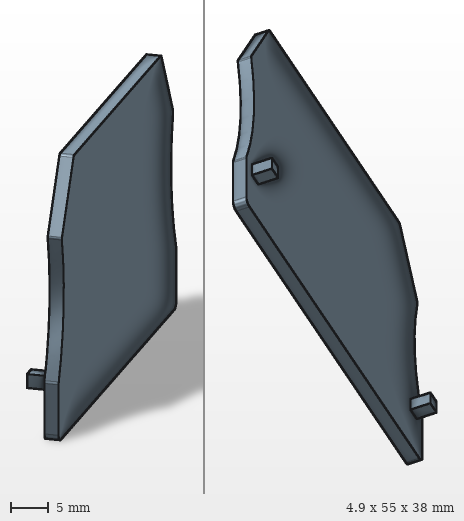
import cadquery as cq
import math

width = 55.0
height = 38.05
thickness = 2.0
top_width = 40.8
shoulder_z = 28.2

waist_radius = 32.0
waist_width = 50.15
waist_z = 20.5

base_radius = 1.0
foot_radius = 1.0
upper_radius = 0.5

peg_side = 2.0
peg_length = 2.9
peg_spacing = 49.5
peg_z = 7.55

half_width = width / 2
half_top = top_width / 2
half_waist = waist_width / 2
waist_center_y = half_waist + waist_radius

shoulder_y = waist_center_y - math.sqrt(waist_radius**2 - (shoulder_z - waist_z) ** 2)
foot_z = waist_z - math.sqrt(waist_radius**2 - (waist_center_y - half_width) ** 2)


def round_corners(body, half_span, z, radius):
    """Round the mirrored pair of X-direction edges at Y = +/-half_span."""
    tolerance = 0.05
    for y in (-half_span, half_span):
        corner = cq.selectors.BoxSelector(
            (-tolerance, y - tolerance, z - tolerance),
            (thickness + tolerance, y + tolerance, z + tolerance),
        )
        body = body.edges(corner).fillet(radius)
    return body


def make_plate():
    plate = (
        cq.Workplane("YZ")
        .moveTo(-half_width, 0)
        .lineTo(half_width, 0)
        .lineTo(half_width, foot_z)
        .threePointArc((half_waist, waist_z), (shoulder_y, shoulder_z))
        .lineTo(half_top, height)
        .lineTo(-half_top, height)
        .lineTo(-shoulder_y, shoulder_z)
        .threePointArc((-half_waist, waist_z), (-half_width, foot_z))
        .close()
        .extrude(thickness)
    )
    plate = round_corners(plate, half_width, 0, base_radius)
    plate = round_corners(plate, half_width, foot_z, foot_radius)
    plate = round_corners(plate, shoulder_y, shoulder_z, upper_radius)
    return round_corners(plate, half_top, height, upper_radius)


def make_pegs():
    return (
        cq.Workplane("YZ")
        .pushPoints([(-peg_spacing / 2, peg_z), (peg_spacing / 2, peg_z)])
        .rect(peg_side, peg_side)
        .extrude(-peg_length)
    )


result = make_plate().union(make_pegs())